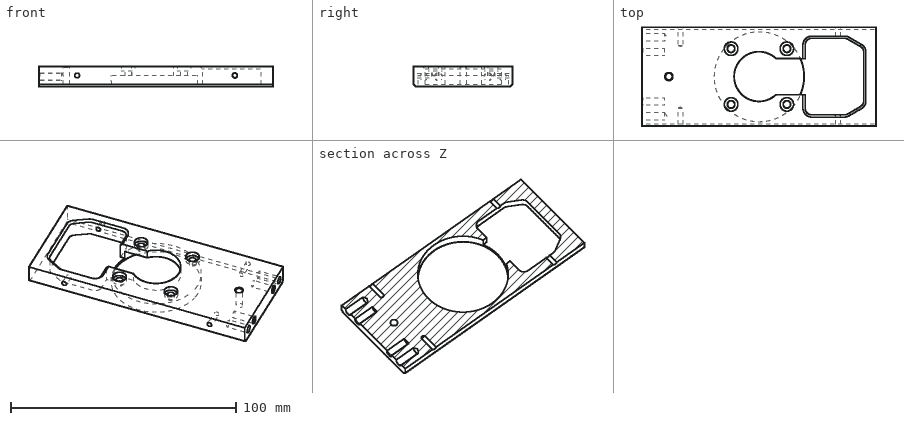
import cadquery as cq
import math

LENGTH = 104.0
WIDTH = 44.0
THICKNESS = 9.0
BOTTOM_CHAMFER = 1.0

OPENING_DIAMETER = 22.0
RECESS_DIAMETER = 40.0
WEB_THICKNESS = 4.0
RECESS_DEPTH = THICKNESS - WEB_THICKNESS

SCREW_CIRCLE_DIAMETER = 35.0
SCREW_SPACING = SCREW_CIRCLE_DIAMETER / math.sqrt(2)
SCREW_DIAMETER = 3.2
SCREW_HEAD_DIAMETER = 6.0
SCREW_HEAD_DEPTH = 2.0

FLOOR_THICKNESS = 1.0
POCKET_DEPTH = THICKNESS - FLOOR_THICKNESS
POCKET_START_X = 20.5
POCKET_END_X = 46.5
POCKET_WIDTH = 34.0
POCKET_CORNER_CUT_Y = 4.5
POCKET_SLANT_ANGLE = 30.0
POCKET_CORNER_CUT_X = POCKET_CORNER_CUT_Y / math.tan(math.radians(POCKET_SLANT_ANGLE))
POCKET_CORNER_RADIUS = 3.0
POCKET_RIM_CHAMFER = 1.0

SLOT_WIDTH = 16.0

DRILL_POINT_ANGLE = 118.0
PIN_DIAMETER = 3.0
PIN_CHAMFER = 0.3
TOP_PIN_X = -40.0
END_PIN_Y = 11.0
END_PIN_DEPTH = 10.0
END_TAP_DIAMETER = 3.3
END_TAP_Y = 17.5
END_TAP_DEPTH = 10.0
END_HOLE_Z = THICKNESS / 2
SIDE_TAP_DIAMETER = 2.11
SIDE_TAP_X = 35.0
SIDE_TAP_Z = 5.0
SIDE_TAP_DEPTH = 8.0


def make_plate():
    """Rectangular plate with its two long bottom edges chamfered."""
    plate = cq.Workplane("XY").box(LENGTH, WIDTH, THICKNESS, centered=(True, True, False))
    return plate.faces("<Z").edges("|X").chamfer(BOTTOM_CHAMFER)


def make_opening():
    """Round opening through the web, widened below by the underside recess."""
    opening = cq.Workplane("XY").circle(OPENING_DIAMETER / 2).extrude(THICKNESS)
    recess = cq.Workplane("XY").circle(RECESS_DIAMETER / 2).extrude(RECESS_DEPTH)
    return opening.union(recess)


def make_pocket():
    """Pocket with two slanted far corners, rounded walls and a chamfered rim."""
    half_width = POCKET_WIDTH / 2
    slant_x = POCKET_END_X - POCKET_CORNER_CUT_X
    slant_y = half_width - POCKET_CORNER_CUT_Y
    outline = [
        (POCKET_START_X, -half_width),
        (slant_x, -half_width),
        (POCKET_END_X, -slant_y),
        (POCKET_END_X, slant_y),
        (slant_x, half_width),
        (POCKET_START_X, half_width),
    ]
    pocket = cq.Workplane("XY").workplane(offset=FLOOR_THICKNESS).polyline(outline).close()
    pocket = pocket.extrude(POCKET_DEPTH).edges("|Z").fillet(POCKET_CORNER_RADIUS)

    rim_profile = pocket.faces(">Z").wires().val()
    top_profile = rim_profile.offset2D(POCKET_RIM_CHAMFER)[0]
    lower_profile = rim_profile.translate(cq.Vector(0, 0, -POCKET_RIM_CHAMFER))
    rim = cq.Solid.makeLoft([lower_profile, top_profile], True)
    return pocket.union(cq.Workplane(rim))


def make_slot():
    """Straight slot at pocket depth from the opening's centre into the pocket."""
    slot = cq.Workplane("XY").box(
        POCKET_START_X, SLOT_WIDTH, POCKET_DEPTH, centered=(False, True, False)
    )
    return slot.translate((0, 0, FLOOR_THICKNESS))


def make_screw_holes():
    """Four counterbored through holes at the corners of a square."""
    square = (SCREW_SPACING, SCREW_SPACING, 2, 2)
    shanks = cq.Workplane("XY").rarray(*square).circle(SCREW_DIAMETER / 2).extrude(THICKNESS)
    head_plane = cq.Workplane("XY").workplane(offset=THICKNESS - SCREW_HEAD_DEPTH)
    heads = head_plane.rarray(*square).circle(SCREW_HEAD_DIAMETER / 2).extrude(SCREW_HEAD_DEPTH)
    return shanks.union(heads)


def revolve_hole(profile, mouth, direction):
    """Revolve a (radius, depth) profile about an axis from mouth along direction."""
    tool = cq.Workplane("XZ").polyline(profile).close().revolve(360, (0, 0), (0, 1))
    plane = cq.Plane(origin=mouth, normal=direction)
    return tool.val().moved(plane.location)


def make_pin_hole(mouth, direction, depth):
    """Flat-ended pin hole with a chamfered mouth."""
    radius = PIN_DIAMETER / 2
    profile = [
        (0, 0),
        (radius + PIN_CHAMFER, 0),
        (radius, PIN_CHAMFER),
        (radius, depth),
        (0, depth),
    ]
    return revolve_hole(profile, mouth, direction)


def make_tap_hole(mouth, direction, diameter, depth):
    """Blind drilled hole ending in a conical drill point."""
    radius = diameter / 2
    point_length = radius / math.tan(math.radians(DRILL_POINT_ANGLE / 2))
    profile = [(0, 0), (radius, 0), (radius, depth), (0, depth + point_length)]
    return revolve_hole(profile, mouth, direction)


result = make_plate()
for cutter in (make_opening(), make_pocket(), make_slot(), make_screw_holes()):
    result = result.cut(cutter)

result = result.cut(make_pin_hole((TOP_PIN_X, 0, THICKNESS), (0, 0, -1), THICKNESS))

for side in (-1, 1):
    pin_mouth = (-LENGTH / 2, side * END_PIN_Y, END_HOLE_Z)
    result = result.cut(make_pin_hole(pin_mouth, (1, 0, 0), END_PIN_DEPTH))

    end_tap_mouth = (-LENGTH / 2, side * END_TAP_Y, END_HOLE_Z)
    result = result.cut(make_tap_hole(end_tap_mouth, (1, 0, 0), END_TAP_DIAMETER, END_TAP_DEPTH))

    for tap_x in (-SIDE_TAP_X, SIDE_TAP_X):
        side_tap_mouth = (tap_x, side * WIDTH / 2, SIDE_TAP_Z)
        result = result.cut(
            make_tap_hole(side_tap_mouth, (0, -side, 0), SIDE_TAP_DIAMETER, SIDE_TAP_DEPTH)
        )